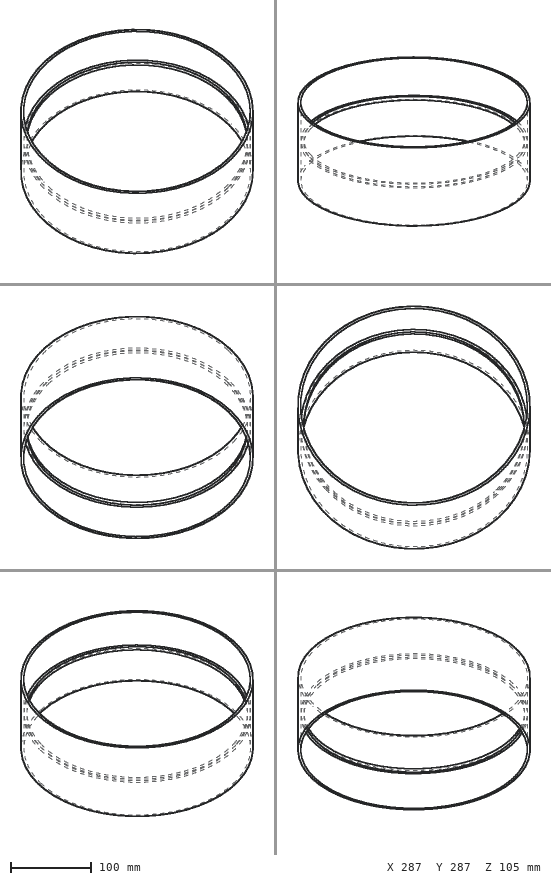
import cadquery as cq

outer_diameter = 287.0
bore_diameter = 280.0
rib_diameter = 273.0
height = 105.0
rib_height = 5.0
rib_bottom = (height - rib_height) / 2


def ring(outside, inside, length, bottom):
    """Flat-ended ring around Z, starting at the given height."""
    return (
        cq.Workplane("XY")
        .workplane(offset=bottom)
        .circle(outside / 2)
        .circle(inside / 2)
        .extrude(length)
    )


sleeve = ring(outer_diameter, bore_diameter, height, 0)
wall_middle_diameter = (outer_diameter + bore_diameter) / 2
stop_rib = ring(wall_middle_diameter, rib_diameter, rib_height, rib_bottom)

result = sleeve.union(stop_rib)